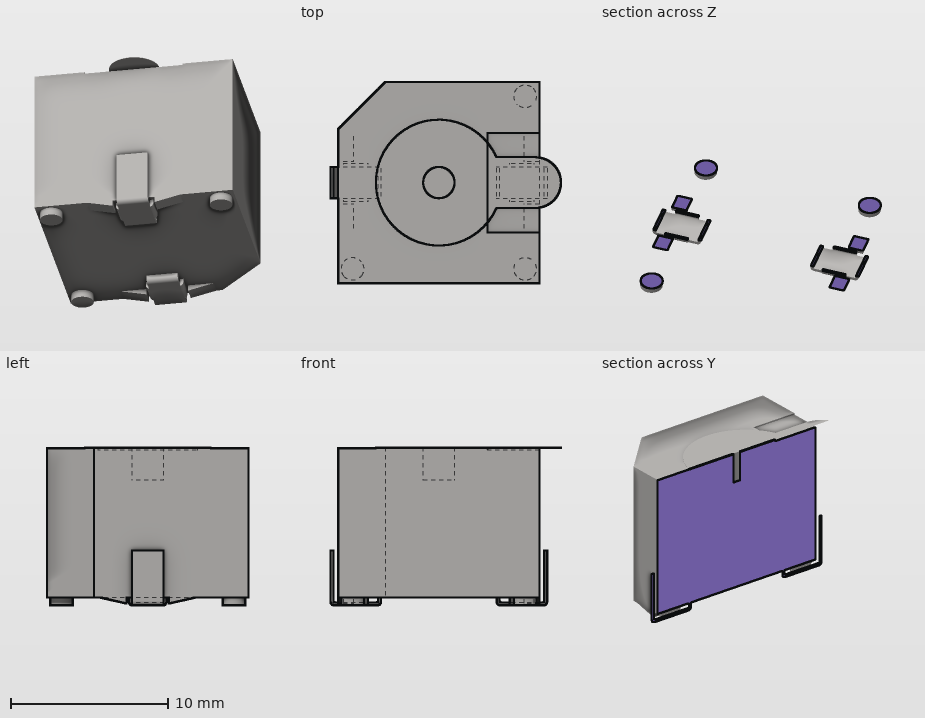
import cadquery as cq

total_height = 10.02
body_width = 12.8
half_body = body_width / 2

film_thickness = 0.03
foot_height = 0.5
foot_radius = 0.72
foot_offset = 5.48
corner_cut = 3.0
housing_top = total_height - film_thickness
housing_height = housing_top - foot_height

sound_hole_radius = 1.0
sound_hole_depth = 2.0
recess_start_x = 3.1
recess_width = 6.33
recess_depth = 0.1

ramp_outer_y = 3.02
ramp_inner_y = 1.35
ramp_drop = 0.38
ramp_length = 1.0

sheet = 0.2
outer_bend = 0.26
inner_bend = outer_bend - sheet
terminal_width = 2.0
terminal_outer_x = 6.89
terminal_inner_x = 3.66
terminal_length = terminal_outer_x - terminal_inner_x
terminal_height = 3.5
flange_length = 1.55
flange_center_x = (terminal_outer_x + terminal_inner_x) / 2
flange_span = terminal_width + 2 * sheet

film_radius = 4.0
tab_radius = 1.61
tab_tip_x = 7.76


def make_block():
    """Housing block with its cut corner, sound hole and finger recess."""
    block = (
        cq.Workplane("XY", origin=(0, 0, foot_height))
        .rect(body_width, body_width)
        .extrude(housing_height)
        .edges("|Z and <X and >Y")
        .chamfer(corner_cut)
    )
    hole = (
        cq.Workplane("XY", origin=(0, 0, housing_top - sound_hole_depth))
        .circle(sound_hole_radius)
        .extrude(sound_hole_depth)
    )
    recess = cq.Workplane("XY", origin=(recess_start_x, 0, housing_top - recess_depth)).box(
        half_body - recess_start_x, recess_width, recess_depth, centered=(False, True, False)
    )
    return block.cut(hole).cut(recess)


def make_feet():
    """Round feet under the three full corners."""
    corners = [(-foot_offset, -foot_offset), (foot_offset, -foot_offset), (foot_offset, foot_offset)]
    return cq.Workplane("XY").pushPoints(corners).circle(foot_radius).extrude(foot_height)


def make_ramps():
    """Pair of wedges at the -X end, deepest next to the terminal."""
    ramp = (
        cq.Workplane("YZ", origin=(-half_body, 0, foot_height))
        .moveTo(ramp_outer_y, 0)
        .lineTo(ramp_inner_y, 0)
        .lineTo(ramp_inner_y, -ramp_drop)
        .close()
        .extrude(ramp_length)
    )
    return ramp.union(ramp.mirror("XZ"))


def make_channel(span, height, length):
    """U-shaped sheet channel along Y, centred on X, with rounded bends and its base on Z = 0."""
    centering = (True, True, False)
    outside = cq.Workplane("XY").box(span, length, height, centered=centering)
    outside = outside.edges("<Z and |Y").fillet(outer_bend)
    inside = cq.Workplane("XY", origin=(0, 0, sheet)).box(
        span - 2 * sheet, length, height, centered=centering
    )
    inside = inside.edges("<Z and |Y").fillet(inner_bend)
    return outside.cut(inside)


def make_terminal():
    """Terminal at the -X end: tall outer leg, short inner leg and two short side flanges."""
    strip = make_channel(terminal_length, terminal_height, terminal_width)
    above_inner_leg = cq.Workplane("XY", origin=(sheet, 0, foot_height)).box(
        terminal_length, terminal_width, terminal_height, centered=(True, True, False)
    )
    flanges = make_channel(flange_span, foot_height, flange_length)
    flanges = flanges.rotate((0, 0, 0), (0, 0, 1), 90)
    return strip.cut(above_inner_leg).union(flanges).translate((-flange_center_x, 0, 0))


def make_housing():
    """Housing with its feet, and the ramps and terminal repeated at both X ends."""
    end_features = make_ramps().union(make_terminal())
    housing = make_block().union(make_feet())
    for angle in (0, 180):
        housing = housing.union(end_features.rotate((0, 0, 0), (0, 0, 1), angle))
    return housing


def make_film():
    """Seal film lying on the housing top, its round-ended tab reaching past the +X side."""
    film_plane = cq.Workplane("XY", origin=(0, 0, housing_top))
    disc = film_plane.circle(film_radius).extrude(film_thickness)
    tab_center_x = tab_tip_x - tab_radius
    tab = (
        film_plane.moveTo(0, -tab_radius)
        .lineTo(tab_center_x, -tab_radius)
        .threePointArc((tab_tip_x, 0), (tab_center_x, tab_radius))
        .lineTo(0, tab_radius)
        .close()
        .extrude(film_thickness)
    )
    return disc.union(tab)


housing = make_housing()
film = make_film()
result = cq.Compound.makeCompound([housing.val(), film.val()])